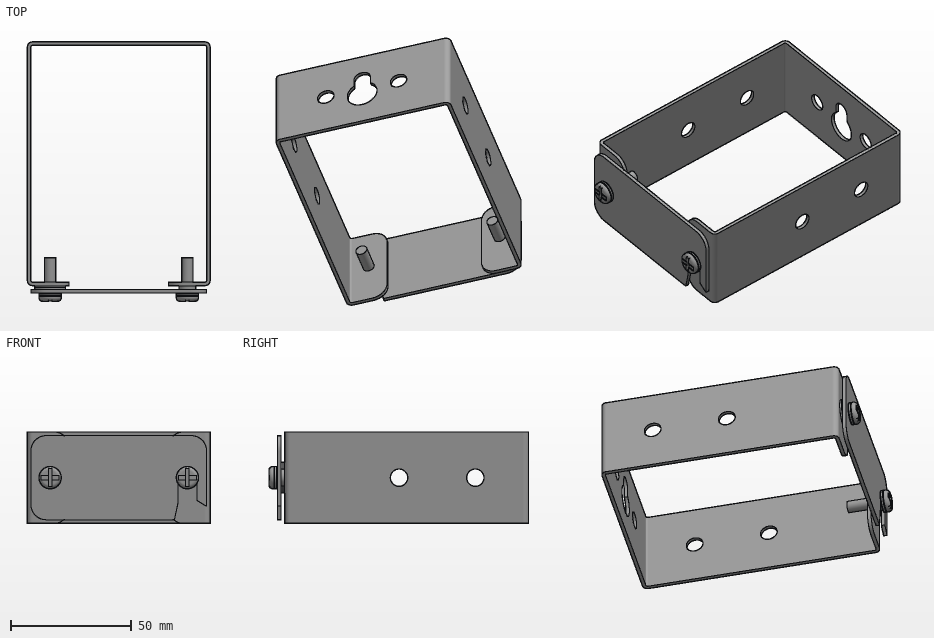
import cadquery as cq

bracket_width = 76.2
bracket_depth = 101.6
bracket_height = 38.1
sheet = 1.524
bend_radius = 2.286
flange_length = 17.46
corner_radius = 6.35

back_y = bracket_depth / 2
flange_y = -bracket_depth / 2
side_x = bracket_width / 2

mount_hole_dia = 7.14
side_hole_setbacks = (22.225, 53.975)
back_hole_offset = 15.875
keyhole_entry_dia = 12.95
keyhole_entry_z = -2.8
keyhole_slot_dia = mount_hole_dia
keyhole_slot_z = 6.0

screw_x = 28.575
thread_dia = 4.8
thread_reach = 10.2
shoulder_dia = 7.11
head_dia = 9.35
head_stack = 3.556
head_dome_radius = 1.65
recess_length = 7.5
slot_width = 1.5
slot_depth = 1.4
cross_width = 1.9
cross_depth = 0.35

lock_washer_thickness = 1.4
lock_washer_bevel = 0.3
lock_washer_bevel_depth = 0.1
spacer_dia = 12.95
spacer_count = 2
spacer_thickness = sheet / spacer_count

plate_margin = 1.524
plate_width = bracket_width - 2 * plate_margin
plate_height = bracket_height - 2 * plate_margin
pivot_hole_dia = 7.95
hook_slot_width = 7.94
hook_inner_z = -10.7
hook_inner_flare = 1.4
hook_outer_z = -9.5
hook_outer_drop = 2.4

plate_back_y = flange_y - spacer_count * spacer_thickness
plate_front_y = plate_back_y - sheet
head_back_y = plate_front_y - lock_washer_thickness
head_depth = head_stack - lock_washer_thickness
head_front_y = head_back_y - head_depth


def rod(diameter, x, z, front_y, length):
    """Cylinder along Y that starts at front_y and runs towards +Y."""
    plane = cq.Workplane("XZ", origin=(x, front_y, z))
    return plane.circle(diameter / 2).extrude(-length)


def ring(outer_dia, inner_dia, x, front_y, thickness):
    """Flat washer on the screw axis at x."""
    plane = cq.Workplane("XZ", origin=(x, front_y, 0))
    return plane.circle(outer_dia / 2).circle(inner_dia / 2).extrude(-thickness)


def make_bracket():
    outer = (
        cq.Workplane("XY")
        .box(bracket_width, bracket_depth, bracket_height)
        .edges("|Z")
        .fillet(bend_radius)
    )
    inner = (
        cq.Workplane("XY")
        .box(bracket_width - 2 * sheet, bracket_depth - 2 * sheet, bracket_height)
        .edges("|Z")
        .fillet(bend_radius - sheet)
    )
    opening_width = bracket_width - 2 * flange_length
    opening = (
        cq.Workplane("XY", origin=(0, flange_y + sheet / 2, 0))
        .box(opening_width, 2 * sheet, bracket_height)
    )
    bracket = outer.cut(inner).cut(opening)

    flange_corners = cq.selectors.BoxSelector(
        (-opening_width / 2 - sheet, flange_y - sheet, -bracket_height),
        (opening_width / 2 + sheet, flange_y + 2 * sheet, bracket_height),
    )
    bracket = bracket.edges("|Y").edges(flange_corners).fillet(corner_radius)

    for setback in side_hole_setbacks:
        side_hole = (
            cq.Workplane("YZ", origin=(-side_x, back_y - setback, 0))
            .circle(mount_hole_dia / 2)
            .extrude(bracket_width)
        )
        bracket = bracket.cut(side_hole)

    back_inside_y = back_y - sheet
    for x in (-back_hole_offset, back_hole_offset):
        bracket = bracket.cut(rod(mount_hole_dia, x, 0, back_inside_y, sheet))
    bracket = bracket.cut(make_keyhole(back_inside_y))

    for x in (-screw_x, screw_x):
        bracket = bracket.cut(rod(thread_dia, x, 0, flange_y, sheet))
    return bracket


def make_keyhole(front_y):
    """Round entry with a narrower round-ended slot above it."""
    entry = rod(keyhole_entry_dia, 0, keyhole_entry_z, front_y, sheet)
    slot_end = rod(keyhole_slot_dia, 0, keyhole_slot_z, front_y, sheet)
    slot_height = keyhole_slot_z - keyhole_entry_z
    slot = (
        cq.Workplane("XZ", origin=(0, front_y, keyhole_entry_z + slot_height / 2))
        .rect(keyhole_slot_dia, slot_height)
        .extrude(-sheet)
    )
    return entry.union(slot).union(slot_end)


def make_plate():
    """Cover plate that pivots on the left screw and hooks over the right one."""
    plate = (
        cq.Workplane("XZ", origin=(0, plate_front_y, 0))
        .rect(plate_width, plate_height)
        .extrude(-sheet)
        .edges("|Y")
        .fillet(corner_radius)
    )
    plate = plate.cut(rod(pivot_hole_dia, -screw_x, 0, plate_front_y, sheet))

    slot_radius = hook_slot_width / 2
    inner_x = screw_x - slot_radius
    outer_x = screw_x + slot_radius
    bottom_z = -plate_height / 2
    end_x = plate_width / 2
    hook_slot = (
        cq.Workplane("XZ", origin=(0, plate_front_y, 0))
        .moveTo(inner_x, 0)
        .threePointArc((screw_x, slot_radius), (outer_x, 0))
        .lineTo(outer_x, hook_outer_z)
        .lineTo(end_x, hook_outer_z - hook_outer_drop)
        .lineTo(end_x, bottom_z)
        .lineTo(inner_x - hook_inner_flare, bottom_z)
        .lineTo(inner_x, hook_inner_z)
        .close()
        .extrude(-sheet)
    )
    return plate.cut(hook_slot)


def make_screw(x):
    head = rod(head_dia, x, 0, head_front_y, head_depth)
    head = head.faces("<Y").edges().fillet(head_dome_radius)
    face = cq.Workplane("XZ", origin=(x, head_front_y, 0))
    head = head.cut(face.rect(slot_width, recess_length).extrude(-slot_depth))
    head = head.cut(face.rect(recess_length, cross_width).extrude(-cross_depth))

    shoulder = rod(shoulder_dia, x, 0, head_back_y, flange_y - head_back_y)
    thread = rod(thread_dia, x, 0, flange_y, sheet + thread_reach)
    return head.union(shoulder).union(thread)


def make_lock_washer(x):
    """Washer between the screw head and the plate, with both rims bevelled."""
    washer = ring(head_dia, shoulder_dia, x, head_back_y, lock_washer_thickness)
    rims = washer.edges(cq.selectors.RadiusNthSelector(1))
    return rims.chamfer(lock_washer_bevel, lock_washer_bevel_depth)


bracket = make_bracket()
plate = make_plate()
screws = [make_screw(x) for x in (-screw_x, screw_x)]
lock_washers = [make_lock_washer(x) for x in (-screw_x, screw_x)]
spacers = [
    ring(spacer_dia, shoulder_dia, -screw_x, plate_back_y + i * spacer_thickness, spacer_thickness)
    for i in range(spacer_count)
]

bodies = [bracket, plate, *screws, *lock_washers, *spacers]
result = cq.Compound.makeCompound([body.val() for body in bodies])